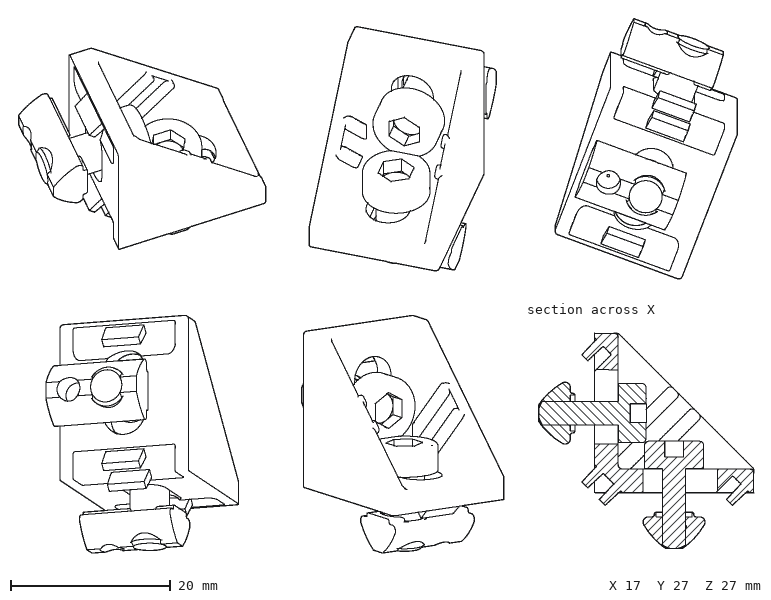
import cadquery as cq
import math

width = 17.0
leg_length = 20.0
plate_thickness = 3.0
edge_radius = 0.5
heel_radius = 0.2

tolerance = 0.003

pocket_width = 13.01
rib_gap = 12.0
rib_width = 1.73
rib_spacing = 3.9
rib_depth = 11.07
rib_edge_radius = 0.2

hole_radius = 2.75
hole_start = 8.05
hole_end = 13.5

notch_width = 13.5
heel_notch_top = 3.55
toe_notch_top = 19.47
toe_notch_bottom = 15.2
notch_corner_radius = 1.0
notch_floor_radius = 0.2

tab_inset = 0.68
tab_width = 5.05
tab_thickness = 1.25
tab_length = 2.65
tab_draft = 2.0

screw_position = 10.0
screw_reach = 7.0
shaft_diameter = 5.0
tip_chamfer = 0.43
head_radius = 4.25
head_height = 3.5
socket_across_flats = 4.0
socket_depth = 2.0
socket_cone_depth = 1.15

nut_left = -8.0
nut_right = 4.0
nut_top = 2.4
nut_shoulder = 3.0
neck_width = 5.0
neck_corner_radius = 0.32
neck_root_radius = 0.25
lobe_half_width = 3.9
lobe_radius = 0.68
lobe_turn = 30.0
flat_half_width = 1.0
nut_recess_radius = 3.0
dimple_x = -5.0
dimple_radius = 1.5
dimple_tip_radius = 0.15
dimple_depth = 3.5
dimple_point_depth = 0.49

toe_sum = leg_length + plate_thickness
nut_length = nut_right - nut_left


def across_corner(body):
    """Mirror a body from the upright leg to the flat leg, across the plane Y = Z."""
    return body.mirror(cq.Vector(0, 1, -1))


def slanted_workplane(y, z, outward):
    """Workplane parallel to the sloping face, through a point on the middle plane X = 0."""
    return cq.Workplane(cq.Plane(origin=(0, y, z), xDir=(1, 0, 0), normal=outward))


def facing_heel(y, z):
    """Slanted workplane whose normal points to the heel and whose Y points up the slope."""
    return slanted_workplane(y, z, (0, -1, -1))


def facing_slope(y, z):
    """Slanted workplane whose normal points out through the sloping face."""
    return slanted_workplane(y, z, (0, 1, 1))


def make_block():
    """Solid corner block, rounded along its sides, its toes and its heel."""
    block = (
        cq.Workplane("YZ")
        .polyline([
            (0, 0),
            (leg_length, 0),
            (leg_length, plate_thickness),
            (plate_thickness, leg_length),
            (0, leg_length),
        ])
        .close()
        .extrude(width / 2, both=True)
    )

    def is_outer_edge(edge):
        middle = edge.Center()
        on_side = abs(middle.x) > pocket_width / 2 and middle.y > tolerance and middle.z > tolerance
        on_toe = abs(middle.x) < tolerance and middle.y + middle.z > toe_sum - tolerance
        return on_side or on_toe

    block = block.edges().filter(is_outer_edge).fillet(edge_radius)
    return block.edges("<(0, 1, 1)").fillet(heel_radius)


def make_pocket():
    """Space between the walls, rounded where they meet the legs and where the legs meet."""
    pocket = (
        cq.Workplane("XY", origin=(0, plate_thickness, plate_thickness))
        .box(pocket_width, leg_length, leg_length, centered=(True, False, False))
    )

    def is_inner_edge(edge):
        middle = edge.Center()
        on_leg = min(middle.y, middle.z) < plate_thickness + tolerance
        on_open_side = max(middle.y, middle.z) > plate_thickness + leg_length - tolerance
        return on_leg and not on_open_side

    return pocket.edges().filter(is_inner_edge).fillet(edge_radius)


def round_pocket_rim(shell):
    """Round the edge where the pocket opens through the slope and the toes."""

    def is_rim_edge(edge):
        middle = edge.Center()
        inside = abs(middle.x) < pocket_width / 2 + tolerance
        near_slope = middle.y + middle.z > toe_sum - edge_radius
        on_toe_end = max(middle.y, middle.z) > leg_length - tolerance
        return inside and near_slope and not on_toe_end

    return shell.edges().filter(is_rim_edge).fillet(edge_radius)


def make_rib(side, offset):
    """Rib on one side wall, running square to the slope from its face down into a leg."""
    rib_length = (pocket_width - rib_gap) / 2 + edge_radius
    middle_x = side * (rib_gap + rib_length) / 2
    rib = (
        facing_slope(toe_sum / 2, toe_sum / 2)
        .center(middle_x, offset)
        .rect(rib_length, rib_width)
        .extrude(-rib_depth)
    )
    rib = rib.faces(">(0, 1, 1)").edges("|X").fillet(edge_radius)
    inner_face = "<X" if side > 0 else ">X"
    return rib.faces(inner_face).edges("not <(0, 1, 1)").fillet(rib_edge_radius)


def make_sharp_land(side):
    """Strip between the ribs of one side wall, where the pocket's rim stays sharp."""
    return (
        facing_slope(toe_sum / 2, toe_sum / 2)
        .center(side * (pocket_width + edge_radius) / 2, 0)
        .rect(edge_radius, rib_spacing)
        .extrude(-edge_radius)
    )


def make_screw_slot():
    """Long hole through the upright leg."""
    return (
        cq.Workplane("XZ", origin=(0, plate_thickness, (hole_start + hole_end) / 2))
        .slot2D(hole_end - hole_start + 2 * hole_radius, 2 * hole_radius, 90)
        .extrude(plate_thickness)
    )


def make_toe_notch():
    """Right-angled notch in the upright leg, with round lower corners."""
    notch_depth = (toe_notch_top - toe_notch_bottom) / math.sqrt(2)
    return (
        facing_heel(0, toe_notch_top)
        .rect(notch_width, 2 * notch_depth)
        .extrude(notch_depth)
        .edges("|(0, 1, 1)").edges("<(0, -1, 1)").fillet(notch_corner_radius)
        .faces(">(0, 1, 1)").edges().fillet(notch_floor_radius)
    )


def make_heel_notch():
    """Cut across the heel, shared by both legs."""
    return (
        facing_heel(heel_notch_top / 2, heel_notch_top / 2)
        .rect(notch_width, 2 * heel_notch_top)
        .extrude(heel_notch_top)
        .faces(">(0, 1, 1)").edges().fillet(notch_floor_radius)
    )


def make_tab(notch_top):
    """Drafted tab standing on a notch floor of the upright leg."""
    return (
        facing_heel(tab_inset, notch_top - tab_inset)
        .rect(tab_width, tab_thickness)
        .extrude(tab_length, taper=tab_draft)
    )


def make_bracket():
    bracket = round_pocket_rim(make_block().cut(make_pocket()))
    for side in (-1, 1):
        bracket = bracket.union(make_sharp_land(side))
        for offset in (-rib_spacing / 2, rib_spacing / 2):
            bracket = bracket.union(make_rib(side, offset))
    for cutter in (make_screw_slot(), make_toe_notch()):
        bracket = bracket.cut(cutter).cut(across_corner(cutter))
    bracket = bracket.cut(make_heel_notch())
    for notch_top in (heel_notch_top, toe_notch_top):
        tab = make_tab(notch_top)
        bracket = bracket.union(tab).union(across_corner(tab))
    return bracket


def screw_workplane(y):
    """Workplane square to the upright leg's screw, centred on it and facing its tip."""
    return cq.Workplane("XZ", origin=(0, y, screw_position))


def make_screw():
    """Socket-head screw of the upright leg, with its head against the inside of the leg."""
    head_top = plate_thickness + head_height
    socket_floor = head_top - socket_depth
    head = (
        screw_workplane(head_top)
        .circle(head_radius)
        .extrude(head_height)
        .faces(">Y").edges().fillet(edge_radius)
    )
    shaft = (
        screw_workplane(plate_thickness)
        .circle(shaft_diameter / 2)
        .extrude(plate_thickness + screw_reach)
        .faces("<Y").edges().chamfer(tip_chamfer)
    )
    socket = (
        screw_workplane(head_top)
        .polygon(6, socket_across_flats, circumscribed=True)
        .extrude(socket_depth)
    )
    socket_point = cq.Workplane(obj=cq.Solid.makeCone(
        socket_across_flats / 2, 0, socket_cone_depth,
        pnt=cq.Vector(0, socket_floor, screw_position), dir=cq.Vector(0, -1, 0),
    ))
    beyond_middle = (
        cq.Workplane("YZ")
        .polyline([(0, 0), (leg_length, 0), (leg_length, leg_length)])
        .close()
        .extrude(width / 2, both=True)
    )
    return head.union(shaft).cut(socket).cut(socket_point).cut(beyond_middle)


def make_dimple():
    """Blind hole beside the nut's screw, ending in a shallow drill point with a small flat tip."""
    return (
        cq.Workplane("XY", origin=(dimple_x, -screw_reach, screw_position))
        .lineTo(dimple_radius, 0)
        .lineTo(dimple_radius, dimple_depth)
        .lineTo(dimple_tip_radius, dimple_depth + dimple_point_depth)
        .lineTo(0, dimple_depth + dimple_point_depth)
        .close()
        .revolve(360, (0, 0), (0, 1))
    )


def make_nut(screw):
    """Slot nut of the upright leg: a neck, two round lobes and curved flanks that end at a flat."""
    lobe_depth = nut_shoulder + lobe_radius
    lobe_middle = lobe_half_width - lobe_radius
    shoulder_turn = -90
    lobe_middle_turn = (shoulder_turn + lobe_turn) / 2

    def on_lobe(degrees):
        """Point on the lobe, turned from its tip towards the flat of the nut."""
        angle = math.radians(degrees)
        return (-lobe_depth - lobe_radius * math.sin(angle), lobe_middle + lobe_radius * math.cos(angle))

    nut = (
        cq.Workplane("YZ", origin=(nut_left, 0, screw_position))
        .moveTo(-nut_top, 0)
        .lineTo(-nut_top, neck_width / 2)
        .lineTo(-nut_shoulder, neck_width / 2)
        .lineTo(-nut_shoulder, lobe_middle)
        .threePointArc(on_lobe(lobe_middle_turn), on_lobe(lobe_turn))
        .tangentArcPoint((-screw_reach, flat_half_width), relative=False)
        .lineTo(-screw_reach, 0)
        .mirrorX()
        .extrude(nut_length)
    )
    nut = nut.faces(">Y").edges("|X").fillet(neck_corner_radius)

    def is_neck_root(edge):
        middle = edge.Center()
        on_shoulder = abs(middle.y + nut_shoulder) < tolerance
        return on_shoulder and abs(abs(middle.z - screw_position) - neck_width / 2) < tolerance

    nut = nut.edges("|X").filter(is_neck_root).fillet(neck_root_radius)
    recess = screw_workplane(-nut_top).circle(nut_recess_radius).extrude(nut_shoulder - nut_top)
    return nut.cut(recess).cut(make_dimple()).cut(screw)


bracket = make_bracket()
upright_screw = make_screw()
upright_nut = make_nut(upright_screw)

screws = []
nuts = []
for screw in (upright_screw, across_corner(upright_screw)):
    screws.extend(screw.solids().vals())
for nut in (upright_nut, across_corner(upright_nut)):
    nuts.extend(nut.solids().vals())

result = cq.Compound.makeCompound([*bracket.solids().vals(), *screws, *nuts])